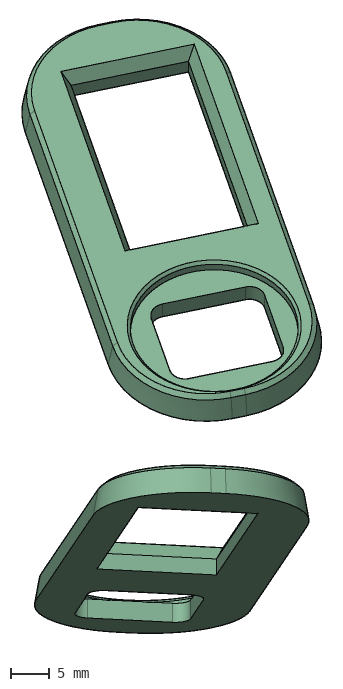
import cadquery as cq
import math

length = 66.65
width = 27.9
height = 4.0
corner_radius = 13.0
draft_angle = 10.0
edge_chamfer = 0.5

window_length = 29.3
window_width = 15.6
window_x = -10.1
window_y = 1.1
window_rim = 1.05
window_rim_depth = 1.85

recess_diameter = 21.5
recess_x = 20.85
recess_depth = 1.45
recess_chamfer = 0.4

opening_length = 13.05
opening_width = 15.05
opening_y = 0.4
opening_radius = 2.0


def make_body():
    """Rounded slab whose sides lean inward, with a chamfered top edge."""
    outline = cq.Sketch().rect(length, width).vertices().fillet(corner_radius)
    slab = cq.Workplane("XY").placeSketch(outline).extrude(height, taper=draft_angle)
    return slab.faces(">Z").edges().chamfer(edge_chamfer)


def make_window():
    """Through window that widens towards the top face."""
    center = (window_x, window_y)
    through = cq.Workplane("XY").center(*center).rect(window_length, window_width).extrude(height)
    rim_angle = math.degrees(math.atan(window_rim / window_rim_depth))
    rim = (
        cq.Workplane("XY", origin=(*center, height))
        .rect(window_length + 2 * window_rim, window_width + 2 * window_rim)
        .extrude(-window_rim_depth, taper=rim_angle)
    )
    return through.union(rim)


def make_recess():
    """Round blind recess with a chamfered mouth."""
    recess_radius = recess_diameter / 2
    floor_z = height - recess_depth
    return (
        cq.Workplane("XZ", origin=(recess_x, 0, 0))
        .moveTo(0, floor_z)
        .lineTo(recess_radius, floor_z)
        .lineTo(recess_radius, height - recess_chamfer)
        .lineTo(recess_radius + recess_chamfer, height)
        .lineTo(0, height)
        .close()
        .revolve(360, (0, 0, 0), (0, 1, 0))
    )


def make_opening():
    """Rounded rectangular opening through the recess floor."""
    return (
        cq.Workplane("XY", origin=(recess_x, opening_y, 0))
        .rect(opening_length, opening_width)
        .extrude(height)
        .edges("|Z")
        .fillet(opening_radius)
    )


result = make_body().cut(make_window()).cut(make_recess()).cut(make_opening())